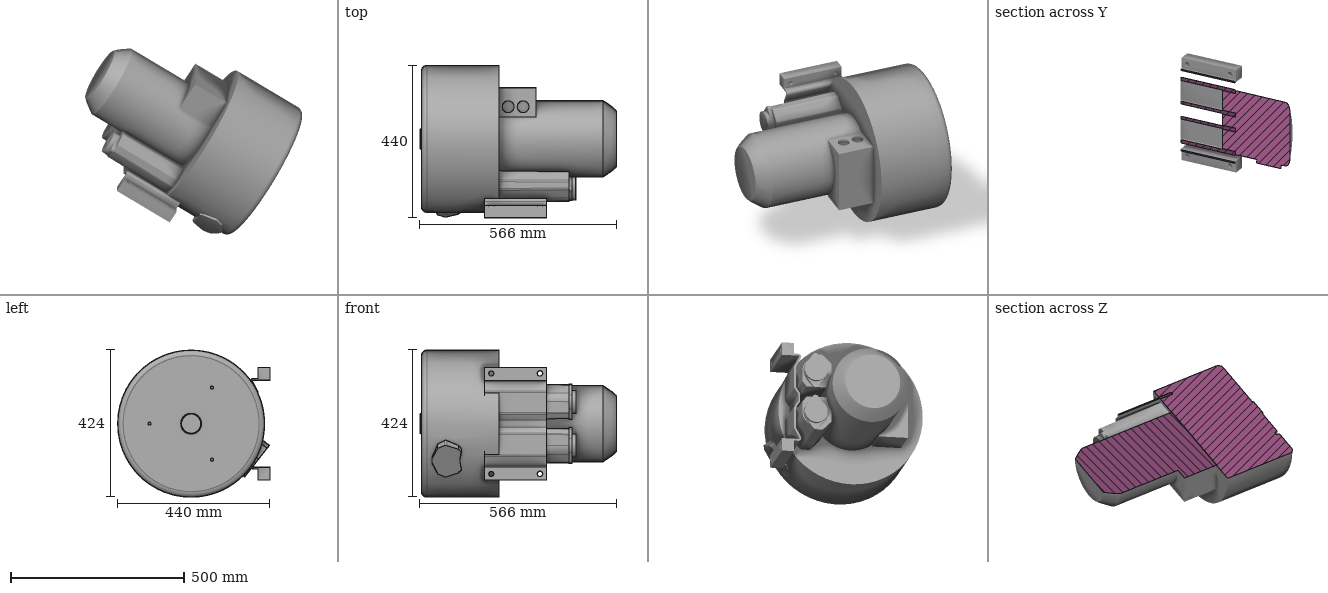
import cadquery as cq
import math


HOUSING_FRONT = 3.5
HOUSING_BACK = 227.5
HOUSING_DIAMETER = 424.0
HOUSING_RADIUS = HOUSING_DIAMETER / 2
HOUSING_EDGE_FILLET = 16.0
HUB_CAP_RADIUS = 30.0
HUB_CAP_CHAMFER = 2.0
COVER_HOLE_RADIUS = 4.5
COVER_HOLE_CIRCLE_RADIUS = 120.0
COVER_HOLE_DEPTH = 8.5
COVER_HOLE_COUNT = 3

BOSS_TILT = 38.1
BOSS_FACE_DISTANCE = 216.0
BOSS_AXIS_OFFSET = 32.0
BOSS_DEPTH = 68.0

SILENCER_BACK = 428.5
SILENCER_DRAFT = 0.8
SILENCER_CORNERS = [
    (-91.5, 12.0),
    (-168.5, 12.0),
    (-183.0, 29.5),
    (-183.0, 79.0),
    (-146.0, 115.5),
    (-120.0, 115.5),
    (-91.5, 88.0),
]
SILENCER_CORNER_RADII = [4.5, 4.5, 4.5, 35.5, 8.0, 8.0, 4.5]
FLANGE_Y = -143.0
FLANGE_Z = 63.0
FLANGE_THICKNESS = 9.5
FLANGE_RADIUS = 34.0
FLANGE_EAR_RADIUS = 9.0
FLANGE_EAR_OFFSET = 42.5
PORT_DISC_RADIUS = 33.5
PORT_DISC_BACK = 449.0

MOTOR_RADIUS = 110.5
MOTOR_TAPER_START = 526.5
MOTOR_BACK = 566.0
MOTOR_BACK_RADIUS = 80.5
MOTOR_CROWN_X = 547.5
MOTOR_CROWN_RADIUS = 97.0

BOX_LENGTH = 106.5
BOX_INNER_Y = 63.5
BOX_OUTER_Y = 148.0
BOX_HALF_HEIGHT = 95.0
GLAND_HOLE_RADIUS = 17.0
GLAND_HOLE_Y = 93.0
GLAND_HOLE_OFFSETS = (26.0, 69.0)
GLAND_HOLE_DEPTH = 11.5

BRACKET_FRONT = 185.0
BRACKET_BACK = 364.5
SHEET_THICKNESS = 5.5
BAR_INNER_Y = -192.5
OVERALL_DEPTH = 440.0
BAR_OUTER_Y = HOUSING_RADIUS - OVERALL_DEPTH
BAR_INNER_Z = 125.0
BAR_OUTER_Z = 162.5
SHEET_BEND_RADIUS = 5.5
LEG_BEND_Y = -170.5
LEG_Z = BAR_INNER_Z + SHEET_THICKNESS / 2
PANEL_Y = -189.5
PANEL_OUTER_Z = 91.5
PANEL_INNER_Z = 30.0
VALLEY_Y = -177.0
VALLEY_HALF_WIDTH = 11.5
BAR_HOLE_RADIUS = 7.5
BAR_HOLE_Z = 145.0
BAR_HOLE_X = (205.0, 345.0)


def cylinder_x(start, end, radius):
    """Solid cylinder on the machine axis between two X positions."""
    return cq.Workplane("YZ").workplane(offset=start).circle(radius).extrude(end - start)


def mirrored_in_z(body):
    return body.mirror("XY")


def make_drum():
    drum = cylinder_x(HOUSING_FRONT, HOUSING_BACK, HOUSING_RADIUS)
    drum = drum.faces("<X").edges().fillet(HOUSING_EDGE_FILLET)
    hub_cap = cylinder_x(0, HOUSING_FRONT + HOUSING_EDGE_FILLET, HUB_CAP_RADIUS)
    hub_cap = hub_cap.faces("<X").edges().chamfer(HUB_CAP_CHAMFER)
    cover_holes = (
        cq.Workplane("YZ")
        .workplane(offset=HOUSING_FRONT)
        .polarArray(COVER_HOLE_CIRCLE_RADIUS, 0, 360, COVER_HOLE_COUNT)
        .circle(COVER_HOLE_RADIUS)
        .extrude(COVER_HOLE_DEPTH)
    )
    return drum.union(hub_cap).cut(cover_holes)


def make_port_boss():
    """Lobed prism with a flat outer face, square to a direction tilted below -Y."""
    tilt = math.radians(BOSS_TILT)
    outward = cq.Vector(0, -math.cos(tilt), -math.sin(tilt))
    sideways = cq.Vector(0, -math.sin(tilt), math.cos(tilt))
    face_centre = outward * BOSS_FACE_DISTANCE + sideways * BOSS_AXIS_OFFSET
    face = cq.Plane(origin=face_centre.toTuple(), xDir=(1, 0, 0), normal=outward.toTuple())
    return (
        cq.Workplane(face)
        .moveTo(119.5, -33.0)
        .threePointArc((115.0, 0), (119.5, 33.0))
        .lineTo(110.0, 43.5)
        .lineTo(77.5, 56.5)
        .threePointArc((73.5, 58.0), (69.5, 56.5))
        .lineTo(50.5, 47.0)
        .lineTo(33.5, 7.0)
        .lineTo(33.5, -7.0)
        .lineTo(50.5, -47.0)
        .lineTo(69.5, -56.5)
        .threePointArc((73.5, -58.0), (77.5, -56.5))
        .lineTo(110.0, -43.5)
        .close()
        .extrude(-BOSS_DEPTH)
    )


def make_flange():
    """Oval flange: a round centre tapering along tangents to a rounded ear above and below."""
    tangent = math.asin((FLANGE_RADIUS - FLANGE_EAR_RADIUS) / FLANGE_EAR_OFFSET)
    side = math.cos(tangent)
    rise = math.sin(tangent)
    bulge_y = FLANGE_RADIUS * side
    bulge_z = FLANGE_RADIUS * rise
    ear_y = FLANGE_EAR_RADIUS * side
    ear_z = FLANGE_EAR_OFFSET + FLANGE_EAR_RADIUS * rise
    ear_tip = FLANGE_EAR_OFFSET + FLANGE_EAR_RADIUS
    return (
        cq.Workplane("YZ", origin=(SILENCER_BACK, FLANGE_Y, FLANGE_Z))
        .moveTo(bulge_y, -bulge_z)
        .threePointArc((FLANGE_RADIUS, 0), (bulge_y, bulge_z))
        .lineTo(ear_y, ear_z)
        .threePointArc((0, ear_tip), (-ear_y, ear_z))
        .lineTo(-bulge_y, bulge_z)
        .threePointArc((-FLANGE_RADIUS, 0), (-bulge_y, -bulge_z))
        .lineTo(-ear_y, -ear_z)
        .threePointArc((0, -ear_tip), (ear_y, -ear_z))
        .close()
        .extrude(FLANGE_THICKNESS)
    )


def make_silencer():
    """Upper silencer: drafted seven-sided body with a large round between its outer face and upper slope."""
    body = (
        cq.Workplane("YZ")
        .workplane(offset=HOUSING_BACK)
        .polyline(SILENCER_CORNERS)
        .close()
        .extrude(SILENCER_BACK - HOUSING_BACK, taper=SILENCER_DRAFT)
    )
    middle_x = (HOUSING_BACK + SILENCER_BACK) / 2
    for corner, radius in zip(SILENCER_CORNERS, SILENCER_CORNER_RADII):
        corner_edge = cq.selectors.NearestToPointSelector((middle_x, *corner))
        body = body.edges("not(#X)").edges(corner_edge).fillet(radius)
    port_disc = (
        cq.Workplane("YZ", origin=(SILENCER_BACK, FLANGE_Y, FLANGE_Z))
        .circle(PORT_DISC_RADIUS)
        .extrude(PORT_DISC_BACK - SILENCER_BACK)
    )
    return body.union(make_flange()).union(port_disc)


def make_housing(motor, bracket):
    """Drum, boss and both silencers, relieved where the motor and the bracket sit."""
    silencer = make_silencer()
    housing = make_drum().union(make_port_boss())
    housing = housing.union(silencer).union(mirrored_in_z(silencer))
    return housing.cut(motor).cut(bracket)


def make_motor():
    barrel = (
        cq.Workplane("XY")
        .moveTo(HOUSING_BACK, 0)
        .lineTo(HOUSING_BACK, MOTOR_RADIUS)
        .lineTo(MOTOR_TAPER_START, MOTOR_RADIUS)
        .threePointArc((MOTOR_CROWN_X, MOTOR_CROWN_RADIUS), (MOTOR_BACK, MOTOR_BACK_RADIUS))
        .lineTo(MOTOR_BACK, 0)
        .close()
        .revolve(360, (0, 0, 0), (1, 0, 0))
    )
    box = cq.Workplane("XY").box(
        BOX_LENGTH, BOX_OUTER_Y - BOX_INNER_Y, 2 * BOX_HALF_HEIGHT, centered=(False, False, True)
    )
    box = box.translate((HOUSING_BACK, BOX_INNER_Y, 0))
    gland_holes = (
        cq.Workplane("XY")
        .workplane(offset=BOX_HALF_HEIGHT)
        .pushPoints([(HOUSING_BACK + offset, GLAND_HOLE_Y) for offset in GLAND_HOLE_OFFSETS])
        .circle(GLAND_HOLE_RADIUS)
        .extrude(-GLAND_HOLE_DEPTH)
    )
    return barrel.union(box.cut(gland_holes))


def make_bracket():
    """Bent sheet that runs under the silencers and carries a square bar along each edge."""
    length = BRACKET_BACK - BRACKET_FRONT
    bar_middle_y = (BAR_INNER_Y + BAR_OUTER_Y) / 2
    upper_line = [
        (VALLEY_Y, VALLEY_HALF_WIDTH),
        (PANEL_Y, PANEL_INNER_Z),
        (PANEL_Y, PANEL_OUTER_Z),
        (LEG_BEND_Y, LEG_Z),
        (bar_middle_y, LEG_Z),
    ]
    lower_line = [(y, -z) for y, z in reversed(upper_line)]
    corners = [cq.Vector(BRACKET_FRONT, y, z) for y, z in lower_line + upper_line]
    middle_line = cq.Wire.makePolygon(corners).fillet(SHEET_BEND_RADIUS)
    sheet = (
        cq.Workplane("YZ", origin=(BRACKET_FRONT, 0, 0))
        .newObject([middle_line])
        .toPending()
        .offset2D(SHEET_THICKNESS / 2)
        .extrude(length)
    )
    bar = cq.Workplane("XY").box(
        length, BAR_INNER_Y - BAR_OUTER_Y, BAR_OUTER_Z - BAR_INNER_Z, centered=False
    )
    bar = bar.translate((BRACKET_FRONT, BAR_OUTER_Y, BAR_INNER_Z))
    holes = (
        cq.Workplane("XZ", origin=(0, BAR_INNER_Y, 0))
        .pushPoints([(x, BAR_HOLE_Z) for x in BAR_HOLE_X])
        .circle(BAR_HOLE_RADIUS)
        .extrude(BAR_INNER_Y - BAR_OUTER_Y)
    )
    bar = bar.cut(holes)
    return sheet.union(bar).union(mirrored_in_z(bar))


motor = make_motor()
bracket = make_bracket()
housing = make_housing(motor, bracket)

result = cq.Compound.makeCompound([housing.val(), motor.val(), bracket.val()])